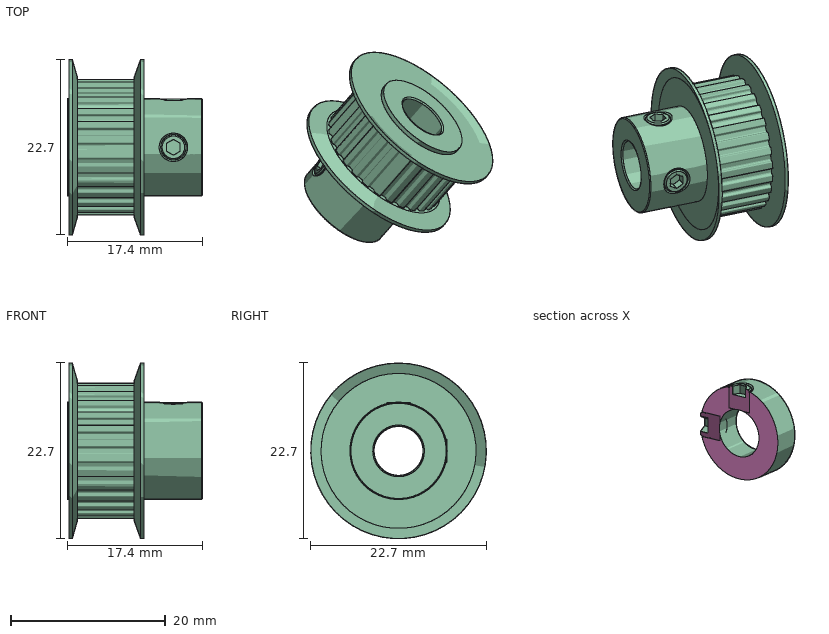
import cadquery as cq
import math

total_length = 17.45
hub_radius = 6.3
hub_chamfer = 0.14
bore_radius = 3.15
bore_chamfer = 0.18

flange_radius = 11.36
flange_rim_width = 0.45
flange_foot_radius = 9.1
dish_floor_radius = 10.02
front_rim_x = 0.15
track_start_x = 1.27
track_end_x = 8.61
rear_rim_x = 9.89

tooth_count = 28
tooth_tip_radius = 8.8
groove_depth = 0.45
groove_root_radius = tooth_tip_radius - groove_depth
groove_half_width = 0.52
flank_angle = 20.0
tip_fillet = 0.14
root_fillet = 0.23
groove_overshoot = 0.23
match_tolerance = 0.011

screw_angles = (0, 90)
screw_x = 13.68
screw_radius = 1.64
screw_top = 6.25
screw_bottom = bore_radius
screw_chamfer = 0.18
screw_hole_chamfer = 0.2
hex_across_flats = 1.77
hex_depth = 1.14


def around_axis(shape, angle):
    """Turn a shape about the X axis, from +Z toward +Y for a positive angle."""
    return shape.rotate((0, 0, 0), (1, 0, 0), -angle)


def revolve_profile(points):
    """Turn a closed outline of (x, radius) points about the X axis."""
    return cq.Workplane("XZ").polyline(points).close().revolve(360, (0, 0, 0), (1, 0, 0))


def make_flange(rim_x, track_x):
    """Dished flange from its outer rim edge at rim_x to its flat inner face at track_x."""
    toward_track = math.copysign(1, track_x - rim_x)
    rim_inner_x = rim_x + toward_track * flange_rim_width
    slope = (track_x - rim_inner_x) / (flange_radius - flange_foot_radius)
    dish_floor_x = rim_x + slope * (flange_radius - dish_floor_radius)
    return revolve_profile([
        (dish_floor_x, 0),
        (dish_floor_x, dish_floor_radius),
        (rim_x, flange_radius),
        (rim_inner_x, flange_radius),
        (track_x, flange_foot_radius),
        (track_x, 0),
    ])


def make_groove():
    """Cutter for one belt groove, lying along X at the +Z side."""
    cutter_top = tooth_tip_radius + groove_overshoot
    flare = math.tan(math.radians(flank_angle))
    root_half_width = groove_half_width - groove_depth * flare
    top_half_width = groove_half_width + groove_overshoot * flare
    return (
        cq.Workplane("YZ")
        .workplane(offset=track_start_x)
        .polyline([
            (-root_half_width, groove_root_radius),
            (root_half_width, groove_root_radius),
            (top_half_width, cutter_top),
            (-top_half_width, cutter_top),
        ])
        .close()
        .extrude(track_end_x - track_start_x)
    )


def make_toothed_track():
    """Belt track with evenly spaced grooves, one of them centred on +Z."""
    track = cq.Workplane("YZ").workplane(offset=track_start_x).circle(tooth_tip_radius)
    track = track.extrude(track_end_x - track_start_x)
    groove = make_groove()
    for index in range(tooth_count):
        track = track.cut(around_axis(groove, index * 360 / tooth_count))

    mid_depth_radius = tooth_tip_radius - groove_depth / 2

    def is_root(edge):
        return math.hypot(edge.Center().y, edge.Center().z) < mid_depth_radius

    def is_tip(edge):
        return math.hypot(edge.Center().y, edge.Center().z) > tooth_tip_radius - match_tolerance

    track = track.edges("|X").filter(is_root).fillet(root_fillet)
    return track.edges("|X").filter(is_tip).fillet(tip_fillet)


def make_hub():
    """Boss and hub as one cylinder from end to end, chamfered at the hub end."""
    return revolve_profile([
        (0, 0),
        (0, hub_radius),
        (total_length - hub_chamfer, hub_radius),
        (total_length, hub_radius - hub_chamfer),
        (total_length, 0),
    ])


def make_bore():
    """Cutter for the through bore, widened by a chamfer at both ends."""
    mouth_radius = bore_radius + bore_chamfer
    return revolve_profile([
        (0, 0),
        (0, mouth_radius),
        (bore_chamfer, bore_radius),
        (total_length - bore_chamfer, bore_radius),
        (total_length, mouth_radius),
        (total_length, 0),
    ])


def cut_screw_hole(hub, angle):
    """Radial hole from the bore out through the hub skin."""
    hole = cq.Workplane("XY", origin=(screw_x, 0, screw_bottom)).circle(screw_radius)
    hole = hole.extrude(hub_radius)
    return hub.cut(around_axis(hole, angle))


def make_pulley():
    """Hub, flanges and toothed track in one piece, with bore and screw holes."""
    hub = make_hub()
    for angle in screw_angles:
        hub = cut_screw_hole(hub, angle)

    def is_screw_hole_rim(edge):
        return edge.geomType() not in ("LINE", "CIRCLE")

    hub = hub.edges().filter(is_screw_hole_rim).chamfer(screw_hole_chamfer)
    pulley = (
        hub
        .union(make_flange(front_rim_x, track_start_x))
        .union(make_flange(rear_rim_x, track_end_x))
        .union(make_toothed_track())
    )
    return pulley.cut(make_bore())


def make_set_screw(angle):
    """Headless screw with a hexagon socket, filling its hole almost to the hub skin."""
    screw = (
        cq.Workplane("XY", origin=(screw_x, 0, screw_bottom))
        .circle(screw_radius)
        .extrude(screw_top - screw_bottom)
        .faces(">Z").chamfer(screw_chamfer)
    )
    corner_diameter = hex_across_flats / math.cos(math.pi / 6)
    socket = (
        cq.Workplane("XY", origin=(screw_x, 0, screw_top - hex_depth))
        .transformed(rotate=(0, 0, 90))
        .polygon(6, corner_diameter)
        .extrude(hex_depth)
    )
    return around_axis(screw.cut(socket), angle)


pulley = make_pulley()
set_screws = [make_set_screw(angle) for angle in screw_angles]

result = cq.Compound.makeCompound([pulley.val(), *[screw.val() for screw in set_screws]])